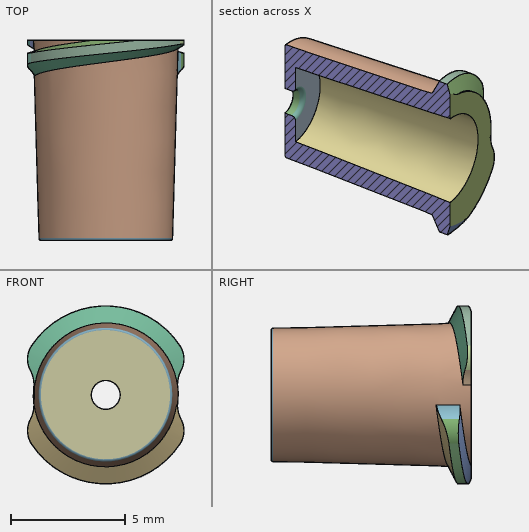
import cadquery as cq
import math

LENGTH = 8.75
BODY_END_RADIUS = 2.92
BODY_RIM_RADIUS = 3.17
END_EDGE_RADIUS = 0.1

HOLE_DIAMETER = 1.25
END_WALL = 0.57
HOLE_EDGE_ROUND = 0.2
CAVITY_END_RADIUS = 1.9
CAVITY_RIM_RADIUS = 2.15

LUG_RADIUS = 3.89
LUG_HALF_WIDTH = 3.42
CORNER_RADIUS = 1.05
WAIST_HALF_WIDTH = 3.14
WAIST_RADIUS = 1.34

LEAD = 2.55
CREST_WIDTH = 0.43
CREST_TO_RIM = 0.15
RIM_FLANK_ANGLE = 17
BODY_FLANK_ANGLE = 27
THREAD_ROOT_RADIUS = 2.7
THREAD_OUTER_RADIUS = 4.1
THREAD_SWEEP_ANGLE = 200

LUG_BAND = 2.2


def make_body():
    """Solid tapered body with a rounded edge at the closed end."""
    profile = [(0, 0), (BODY_END_RADIUS, 0), (BODY_RIM_RADIUS, LENGTH), (0, LENGTH)]
    body = cq.Workplane("XY").polyline(profile).close().revolve(360, (0, 0), (0, 1))
    return body.faces("<Y").edges().fillet(END_EDGE_RADIUS)


def make_bore():
    """Tapered cavity open at the rim, joined to the small hole by a rounded edge."""
    hole_radius = HOLE_DIAMETER / 2
    arc_x = hole_radius + HOLE_EDGE_ROUND
    arc_y = END_WALL - HOLE_EDGE_ROUND
    arc_reach = HOLE_EDGE_ROUND * math.cos(math.radians(45))
    return (
        cq.Workplane("XY")
        .lineTo(hole_radius, 0)
        .lineTo(hole_radius, arc_y)
        .threePointArc((arc_x - arc_reach, arc_y + arc_reach), (arc_x, END_WALL))
        .lineTo(CAVITY_END_RADIUS, END_WALL)
        .lineTo(CAVITY_RIM_RADIUS, LENGTH)
        .lineTo(0, LENGTH)
        .close()
        .revolve(360, (0, 0), (0, 1))
    )


def make_lug_outline():
    """Prism around one lug: a large arc, two rounded corners and two concave waist ends."""
    corner_x = LUG_HALF_WIDTH - CORNER_RADIUS
    corner_distance = LUG_RADIUS - CORNER_RADIUS
    corner_z = math.sqrt(corner_distance**2 - corner_x**2)

    waist_x = WAIST_HALF_WIDTH + WAIST_RADIUS
    center_gap = CORNER_RADIUS + WAIST_RADIUS
    waist_z = corner_z - math.sqrt(center_gap**2 - (waist_x - corner_x) ** 2)
    share = CORNER_RADIUS / center_gap
    joint_x = corner_x + share * (waist_x - corner_x)
    joint_z = corner_z + share * (waist_z - corner_z)
    half_waist_angle = math.atan2(waist_z - joint_z, waist_x - joint_x) / 2
    waist_mid = (
        waist_x - WAIST_RADIUS * math.cos(half_waist_angle),
        waist_z - WAIST_RADIUS * math.sin(half_waist_angle),
    )

    growth = LUG_RADIUS / corner_distance
    crest_end = (corner_x * growth, corner_z * growth)

    half = (
        cq.Workplane("XZ", origin=(0, LENGTH, 0))
        .moveTo(0, waist_z)
        .lineTo(WAIST_HALF_WIDTH, waist_z)
        .threePointArc(waist_mid, (joint_x, joint_z))
        .threePointArc((LUG_HALF_WIDTH, corner_z), crest_end)
        .radiusArc((0, LUG_RADIUS), -LUG_RADIUS)
        .close()
        .extrude(LUG_BAND)
    )
    return half.union(half.mirror("YZ"))


def make_thread():
    """Right-handed helical ridge around Y whose middle lies on the +Z side."""
    rise = LEAD * THREAD_SWEEP_ANGLE / 360
    rim_slope = math.tan(math.radians(RIM_FLANK_ANGLE))
    body_slope = math.tan(math.radians(BODY_FLANK_ANGLE))

    def section_point(radius, on_rim_side):
        depth = LUG_RADIUS - radius
        if on_rim_side:
            return (radius, CREST_WIDTH + rim_slope * depth)
        return (radius, -body_slope * depth)

    section = [
        section_point(THREAD_ROOT_RADIUS, False),
        section_point(THREAD_OUTER_RADIUS, False),
        section_point(THREAD_OUTER_RADIUS, True),
        section_point(THREAD_ROOT_RADIUS, True),
    ]
    helix = cq.Wire.makeHelix(LEAD, rise, LUG_RADIUS)
    ridge = cq.Workplane("XZ").polyline(section).close().sweep(cq.Workplane(helix), isFrenet=True)

    middle_height = LENGTH - CREST_TO_RIM - CREST_WIDTH
    return (
        ridge.rotate((0, 0, 0), (0, 0, 1), -90 - THREAD_SWEEP_ANGLE / 2)
        .translate((0, 0, -rise / 2))
        .rotate((0, 0, 0), (1, 0, 0), -90)
        .translate((0, middle_height, 0))
    )


lug = make_thread().intersect(make_lug_outline())
opposite_lug = lug.rotate((0, 0, 0), (0, 1, 0), 180)
result = make_body().union(lug).union(opposite_lug).cut(make_bore())